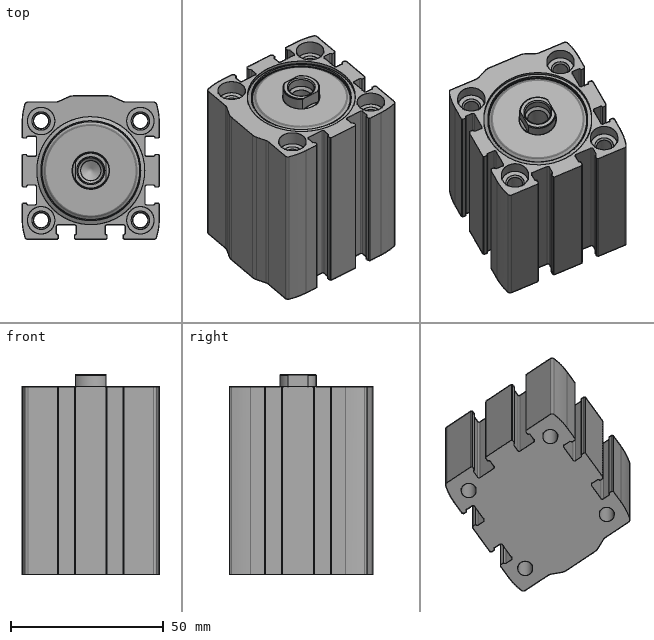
import cadquery as cq
import math

margin = 0.05

total_height = 65.5
housing_height = 61.5
housing_width = 45.0
housing_length = 47.0
half_width = housing_width / 2

flat_side_half_length = 15.5
corner_x = 21.35
corner_fillet = 1.05

back_y = housing_length - half_width
back_foot_x = 10.95
back_crest_x = 6.5
back_foot_fillet = 2.6
back_crest_fillet = 3.9

slot_offset = 8.0
slot_neck_width = 5.25
slot_inner_width = 6.5
slot_lip_depth = 1.5
slot_depth = 4.7
slot_inner_fillet = 0.5
slot_mouth_fillet = 0.3

bolt_spacing = 32.5
bolt_hole_diameter = 4.9
bolt_entry_diameter = 6.0
bolt_counterbore_diameter = 9.0
bolt_counterbore_depth = 4.8

end_face_drop = 0.2
end_face_height = housing_height - end_face_drop
end_face_radius = 15.0
end_face_edge_fillet = 0.45
inner_bevel_angle = 40.0
inner_bevel_outer_radius = 32.0 / 2
outer_bevel_inner_radius = 16.4
outer_bevel_angle = 30.0
recess_radius = 35.4 / 2
recess_depth = 1.05

socket_mouth_chamfer = 0.1

rod_radius = 12.0 / 2
rod_length = 32.75
rod_bottom = total_height - rod_length
rod_top_chamfer = 0.25
rod_flats_width = 10.0
rod_shoulder_angle = 30.0
thread_entry_radius = 4.6
thread_bore_radius = 8.4 / 2
thread_bore_depth = 3.3
drill_radius = 6.6 / 2
drill_depth = 13.1
drill_tip_angle = 120.0


def rise(run, angle):
    """Height gained over a horizontal run on a slope of the given angle in degrees."""
    return run * math.tan(math.radians(angle))


def revolve_about_z(points):
    """Solid of revolution about Z from (radius, height) points."""
    return cq.Workplane("XZ").polyline(points).close().revolve(360, (0, 0, 0), (0, 1, 0))


def box_around(low, high):
    """Selector for what lies wholly in the box between two corners, widened by the margin."""
    return cq.selectors.BoxSelector(
        tuple(value - margin for value in low),
        tuple(value + margin for value in high),
        boundingbox=True,
    )


def housing_block():
    """Square body with bowed side walls, rounded corners and a raised back."""
    bow_height = half_width - flat_side_half_length
    bow_inset = half_width - corner_x
    bow_radius = (bow_height**2 + bow_inset**2) / (2 * bow_inset)
    half_angle = math.asin(bow_height / bow_radius) / 2
    bow_mid_x = half_width - bow_radius * (1 - math.cos(half_angle))
    bow_mid_y = flat_side_half_length + bow_radius * math.sin(half_angle)

    body = (
        cq.Workplane("XY")
        .moveTo(-corner_x, -half_width)
        .lineTo(corner_x, -half_width)
        .threePointArc((bow_mid_x, -bow_mid_y), (half_width, -flat_side_half_length))
        .lineTo(half_width, flat_side_half_length)
        .threePointArc((bow_mid_x, bow_mid_y), (corner_x, half_width))
        .lineTo(back_foot_x, half_width)
        .lineTo(back_crest_x, back_y)
        .lineTo(-back_crest_x, back_y)
        .lineTo(-back_foot_x, half_width)
        .lineTo(-corner_x, half_width)
        .threePointArc((-bow_mid_x, bow_mid_y), (-half_width, flat_side_half_length))
        .lineTo(-half_width, -flat_side_half_length)
        .threePointArc((-bow_mid_x, -bow_mid_y), (-corner_x, -half_width))
        .close()
        .extrude(housing_height)
    )

    def upright_edge(x, y):
        return box_around((x, y, 0), (x, y, housing_height))

    for side in (-1, 1):
        for end in (-1, 1):
            body = body.edges(upright_edge(side * corner_x, end * half_width)).fillet(corner_fillet)
        body = body.edges(upright_edge(side * back_foot_x, half_width)).fillet(back_foot_fillet)
        body = body.edges(upright_edge(side * back_crest_x, back_y)).fillet(back_crest_fillet)
    return body


def t_slot(center, turn):
    """T-slot cutter for the front wall at x = center, turned about Z to another wall."""
    neck_half = slot_neck_width / 2
    inner_half = slot_inner_width / 2
    mouth_half = neck_half + slot_mouth_fillet
    wall = -half_width
    lip = wall + slot_lip_depth
    floor = wall + slot_depth
    inside = (
        cq.Workplane("XY")
        .center(center, 0)
        .moveTo(-inner_half, lip)
        .lineTo(inner_half, lip)
        .lineTo(inner_half, floor)
        .lineTo(-inner_half, floor)
        .close()
        .extrude(housing_height)
        .edges("|Z")
        .fillet(slot_inner_fillet)
    )
    mouth = (
        cq.Workplane("XY")
        .center(center, 0)
        .moveTo(-mouth_half, wall)
        .lineTo(mouth_half, wall)
        .radiusArc((neck_half, wall + slot_mouth_fillet), -slot_mouth_fillet)
        .lineTo(neck_half, lip + slot_inner_fillet)
        .lineTo(-neck_half, lip + slot_inner_fillet)
        .lineTo(-neck_half, wall + slot_mouth_fillet)
        .radiusArc((-mouth_half, wall), -slot_mouth_fillet)
        .close()
        .extrude(housing_height)
    )
    return inside.union(mouth).rotate((0, 0, 0), (0, 0, 1), turn)


def bolt_hole():
    """Through hole with a countersunk entry at the floor of its counterbore."""
    hole_radius = bolt_hole_diameter / 2
    entry_radius = bolt_entry_diameter / 2
    counterbore_radius = bolt_counterbore_diameter / 2
    floor = housing_height - bolt_counterbore_depth
    return revolve_about_z(
        [
            (0, 0),
            (hole_radius, 0),
            (hole_radius, floor - (entry_radius - hole_radius)),
            (entry_radius, floor),
            (counterbore_radius, floor),
            (counterbore_radius, housing_height),
            (0, housing_height),
        ]
    )


def end_recess():
    """Cutter for the round recess that leaves the end face and its two bevels."""
    recess_floor = housing_height - recess_depth
    bevel_top = recess_floor + rise(recess_radius - outer_bevel_inner_radius, outer_bevel_angle)
    inner_bevel_foot = end_face_height - rise(inner_bevel_outer_radius - end_face_radius, inner_bevel_angle)
    return revolve_about_z(
        [
            (0, housing_height),
            (0, end_face_height),
            (end_face_radius, end_face_height),
            (inner_bevel_outer_radius, inner_bevel_foot),
            (outer_bevel_inner_radius, inner_bevel_foot),
            (outer_bevel_inner_radius, bevel_top),
            (recess_radius, recess_floor),
            (recess_radius, housing_height),
        ]
    )


def rod_socket():
    """Blind socket that holds the rod, with a chamfered mouth at the end face."""
    mouth_radius = rod_radius + socket_mouth_chamfer
    return revolve_about_z(
        [
            (0, rod_bottom),
            (rod_radius, rod_bottom),
            (rod_radius, end_face_height - socket_mouth_chamfer),
            (mouth_radius, end_face_height),
            (0, end_face_height),
        ]
    )


def make_housing():
    body = housing_block()
    for turn in (-90, 0, 90):
        for side in (-1, 1):
            body = body.cut(t_slot(side * slot_offset, turn))
    for x in (-bolt_spacing / 2, bolt_spacing / 2):
        for y in (-bolt_spacing / 2, bolt_spacing / 2):
            body = body.cut(bolt_hole().translate((x, y, 0)))
    body = body.cut(end_recess())
    end_face_edge = box_around(
        (-end_face_radius, -end_face_radius, end_face_height),
        (end_face_radius, end_face_radius, end_face_height),
    )
    body = body.edges(end_face_edge).fillet(end_face_edge_fillet)
    return body.cut(rod_socket())


def flats_cutter():
    """Material outside the two flats, ending on a conical shoulder that starts at the end face."""
    flat_radius = rod_flats_width / 2
    outer_radius = rod_radius + margin
    shoulder_foot = end_face_height - rise(outer_radius - flat_radius, rod_shoulder_angle)
    around = revolve_about_z(
        [
            (0, end_face_height + rise(flat_radius, rod_shoulder_angle)),
            (outer_radius, shoulder_foot),
            (outer_radius, total_height),
            (0, total_height),
        ]
    )
    between_flats = cq.Workplane("XY").box(
        rod_flats_width, 2 * outer_radius, total_height, centered=(True, True, False)
    )
    return around.cut(between_flats)


def threaded_bore():
    """Chamfered threaded bore stepping down to a drilled hole with a conical tip."""
    entry_depth = thread_entry_radius - thread_bore_radius
    step_depth = thread_bore_radius - drill_radius
    bore_floor = total_height - thread_bore_depth
    drill_floor = total_height - drill_depth
    tip_length = drill_radius / math.tan(math.radians(drill_tip_angle / 2))
    return revolve_about_z(
        [
            (0, total_height),
            (thread_entry_radius, total_height),
            (thread_bore_radius, total_height - entry_depth),
            (thread_bore_radius, bore_floor),
            (drill_radius, bore_floor - step_depth),
            (drill_radius, drill_floor),
            (0, drill_floor - tip_length),
        ]
    )


def make_rod():
    body = (
        cq.Workplane("XY")
        .workplane(offset=rod_bottom)
        .circle(rod_radius)
        .extrude(rod_length)
        .faces(">Z")
        .chamfer(rod_top_chamfer)
    )
    return body.cut(flats_cutter()).cut(threaded_bore())


housing = make_housing()
rod = make_rod()
result = cq.Compound.makeCompound([housing.val(), rod.val()])